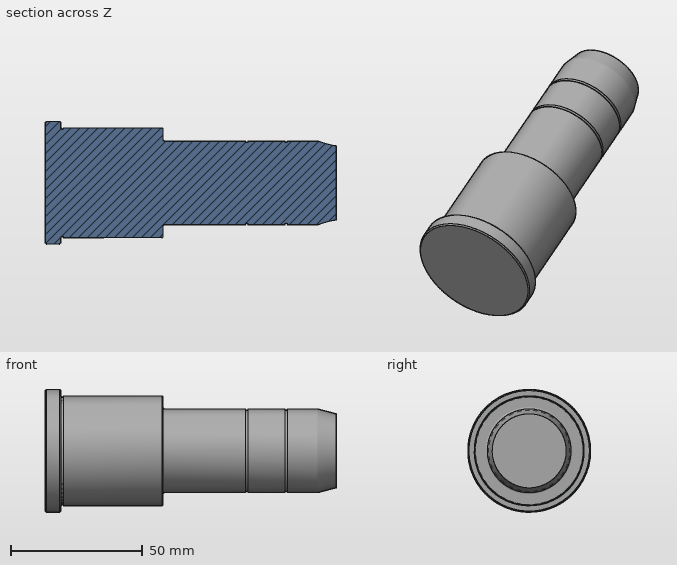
import cadquery as cq
import math

TOTAL_LENGTH = 111.0
FLANGE_RADIUS = 47.0 / 2
BODY_RADIUS = 42.0 / 2
SHANK_RADIUS = 32.0 / 2

FLANGE_THICKNESS = 6.0
BODY_END = 45.0
FLANGE_CHAMFER = 0.5
BODY_CHAMFER = 0.3
SHANK_FILLET = 0.7

GROOVE_RADIUS = 0.5
SHANK_GROOVE_STARTS = (76.4, 91.4)

TIP_LENGTH = 7.0
TIP_ANGLE = 15.0


def cylinder(radius, start, end):
    """Solid cylinder along X between two stations."""
    return cq.Workplane("YZ", origin=(start, 0, 0)).circle(radius).extrude(end - start)


def ring_groove(radius, start):
    """Ring that cuts a half-round groove into a cylinder of the given radius."""
    center = start + GROOVE_RADIUS
    return (
        cq.Workplane("XZ")
        .moveTo(start, radius)
        .threePointArc((center, radius - GROOVE_RADIUS), (center + GROOVE_RADIUS, radius))
        .close()
        .revolve(360, (0, 0, 0), (1, 0, 0))
    )


def make_shank():
    """Slim cylinder with a conical tip."""
    tip_start = TOTAL_LENGTH - TIP_LENGTH
    tip_radius = SHANK_RADIUS - TIP_LENGTH * math.tan(math.radians(TIP_ANGLE))
    shank_profile = (
        cq.Workplane("XZ")
        .moveTo(BODY_END, 0)
        .lineTo(BODY_END, SHANK_RADIUS + SHANK_FILLET)
        .radiusArc((BODY_END + SHANK_FILLET, SHANK_RADIUS), -SHANK_FILLET)
        .lineTo(tip_start, SHANK_RADIUS)
        .lineTo(TOTAL_LENGTH, tip_radius)
        .lineTo(TOTAL_LENGTH, 0)
        .close()
    )
    return shank_profile.revolve(360, (0, 0, 0), (1, 0, 0))


flange = cylinder(FLANGE_RADIUS, 0, FLANGE_THICKNESS).edges().chamfer(FLANGE_CHAMFER)
body = cylinder(BODY_RADIUS, FLANGE_THICKNESS, BODY_END).faces(">X").edges().chamfer(BODY_CHAMFER)

body = body.cut(ring_groove(BODY_RADIUS, FLANGE_THICKNESS))

result = flange.union(body).union(make_shank())
for groove_start in SHANK_GROOVE_STARTS:
    result = result.cut(ring_groove(SHANK_RADIUS, groove_start))